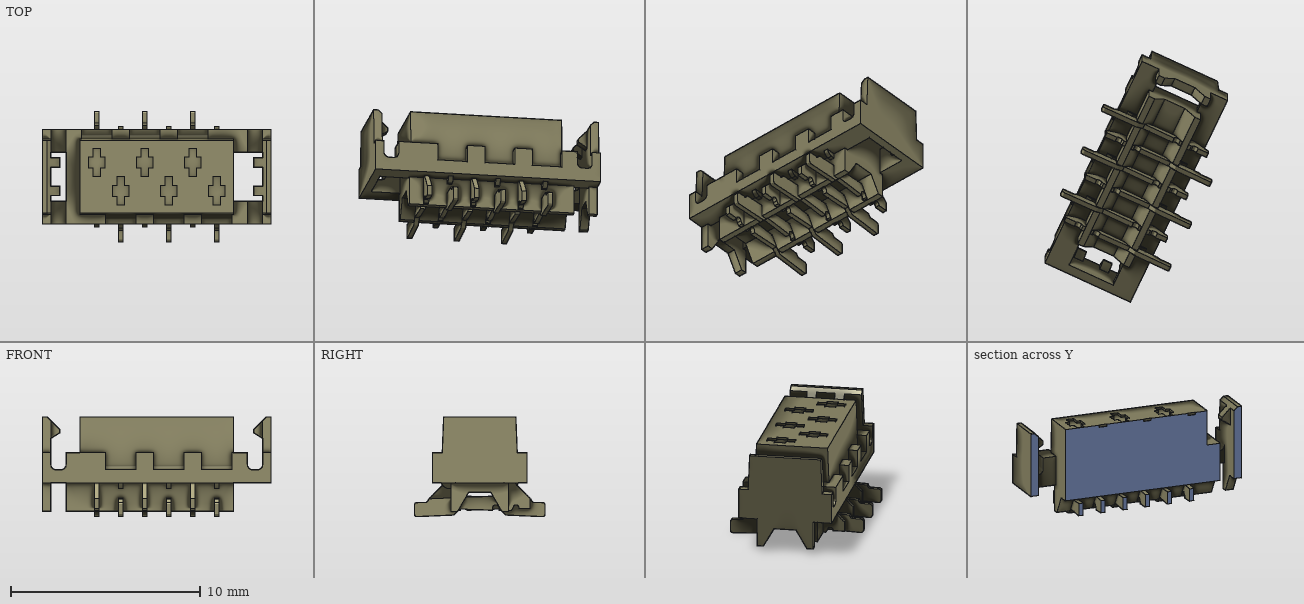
import cadquery as cq


length = 12.09
flange_width = 5.0
flange_height = 1.6
floor_height = 0.7

end_x = length / 2
latch_thickness = 0.45
latch_inner_x = end_x - latch_thickness
latch_chamfer = 0.2
barb_reach = 0.47
barb_tip_flat = 0.18
barb_underside_drop = 0.3
barb_width = 0.51

top_height = 3.5
core_half_length = 4.06
core_top_width = 3.83
core_base_width = 3.98
gap_inner_x = 4.8
gap_corner_radius = 0.28
window_width = 2.58

lower_depth = 1.5
lower_width = 3.02
tunnel_depth = 0.5
tunnel_top_width = 1.17
tunnel_bottom_width = 2.34

contact_pitch = 2.54
contacts_per_row = 3
row_shift = contact_pitch / 4
row_y = 0.75
contact_thickness = 0.25

relief_length = 1.6
relief_fillet = 0.25

socket_depth = 0.12
socket_long = 1.5
socket_narrow = 0.41
socket_wide = 0.86
socket_middle = 0.59

foot_end_y = 3.46
foot_bottom_z = -1.795
foot_top_z = -1.04
foot_radius = 0.14
foot_step_y = 2.845
foot_step_z = -1.025
step_middle = (2.755, -0.96)
blade_top_y = 2.715
blade_top_z = -0.845
blade_slope = 0.041
heel_y = 1.37
heel_z = -1.705
heel_radius = 0.15
arch_y = 1.05
arch_z = -1.38
blade_bottom_z = -1.455
shoulder_y = -1.86
tip_y = -2.67
tip_top_z = -0.82
tip_bottom_z = -1.343
hook_y = -1.92
hook_radius = 0.15
hook_center_z = -1.31
hook_lead_y = -1.67
slot_y = -0.85
slot_radius = 0.17
slot_top_z = -1.155
embed_z = 0.3
lump_y = 2.04
lump_depth = 0.29
lump_flat_y = 1.73
lump_middle = (1.92, -0.17)
lump_embed = 0.1


def box(x0, x1, y0, y1, z0, z1):
    """Axis-aligned block between two opposite corners."""
    block = cq.Workplane("XY").box(x1 - x0, y1 - y0, z1 - z0, centered=False)
    return block.translate((x0, y0, z0))


def row_positions(side):
    """X positions of the contacts in the row on the given Y side (+1 or -1)."""
    middle = -side * row_shift
    return [middle + contact_pitch * (i - (contacts_per_row - 1) / 2) for i in range(contacts_per_row)]


def core_half_width(z):
    """Half the core's width along Y at height z; its faces lean inwards going up."""
    lean = (core_base_width - core_top_width) / 2 / (top_height - flange_height)
    return core_top_width / 2 + lean * (top_height - z)


def extrude_along_x(outline, x0, x1):
    """Prism along X from a closed list of (Y, Z) points."""
    return cq.Workplane("YZ").polyline(outline).close().extrude(x1 - x0).translate((x0, 0, 0))


def tapered_block(x0, x1):
    """Block above the flange floor whose +Y and -Y faces lean inwards."""
    half_top = core_half_width(top_height)
    half_bottom = core_half_width(floor_height)
    outline = [
        (-half_bottom, floor_height),
        (half_bottom, floor_height),
        (half_top, top_height),
        (-half_top, top_height),
    ]
    return extrude_along_x(outline, x0, x1)


def flange():
    half_width = flange_width / 2
    body = box(-end_x, end_x, -half_width, half_width, 0, flange_height)
    for side in (1, -1):
        gap = box(gap_inner_x, latch_inner_x, -half_width, half_width, floor_height, top_height)
        gap = gap.edges("|Y and <Z").fillet(gap_corner_radius)
        window_x = core_half_length if side > 0 else gap_inner_x
        window = box(window_x, latch_inner_x, -window_width / 2, window_width / 2, 0, top_height)
        cutter = gap.union(window)
        if side < 0:
            cutter = cutter.mirror("YZ")
        body = body.cut(cutter)
    return body


def edge_relief(x, side):
    """Notch in a flange edge with a round inner bottom corner against the core."""
    outer_y = flange_width / 2
    outline = [
        (outer_y, floor_height),
        (outer_y, flange_height),
        (core_half_width(flange_height), flange_height),
        (core_half_width(floor_height), floor_height),
    ]
    notch = extrude_along_x(outline, x - relief_length / 2, x + relief_length / 2)
    inner_corner = cq.selectors.NearestToPointSelector((x, core_half_width(floor_height), floor_height))
    notch = notch.edges(inner_corner).fillet(relief_fillet)
    return notch if side > 0 else notch.mirror("XZ")


def lower_body():
    """Lower body and the two -X legs, with a tapered tunnel along X."""
    half = lower_width / 2
    body = box(-gap_inner_x, core_half_length, -half, half, -lower_depth, 0)
    legs = box(-end_x, -latch_inner_x, -half, half, -lower_depth, 0)
    tunnel_outline = [
        (-tunnel_bottom_width / 2, -lower_depth),
        (tunnel_bottom_width / 2, -lower_depth),
        (tunnel_top_width / 2, -tunnel_depth),
        (-tunnel_top_width / 2, -tunnel_depth),
    ]
    tunnel = extrude_along_x(tunnel_outline, -end_x, end_x)
    return body.union(legs).cut(tunnel)


def latch(side):
    """Upright end plate with a chamfered lip and two inward barbs."""
    plate = tapered_block(latch_inner_x, end_x)
    plate = plate.edges("|Y and <X and >Z").chamfer(latch_chamfer)
    root_top = top_height - latch_chamfer
    tip_x = latch_inner_x - barb_reach
    tip_top = root_top - barb_reach
    tip_bottom = tip_top - barb_tip_flat
    barb_outline = [
        (latch_inner_x, root_top),
        (tip_x, tip_top),
        (tip_x, tip_bottom),
        (latch_inner_x, tip_bottom - barb_underside_drop),
    ]
    for y in (row_y, -row_y):
        barb = cq.Workplane("XZ").polyline(barb_outline).close().extrude(barb_width / 2, both=True)
        plate = plate.union(barb.translate((0, y, 0)))
    return plate if side > 0 else plate.mirror("YZ")


def socket(x, side):
    """Cross-shaped recess in the top face."""
    upright = cq.Workplane("XY").rect(socket_narrow, socket_long).extrude(-socket_depth)
    arms = cq.Workplane("XY").rect(socket_wide, socket_middle).extrude(-socket_depth)
    return upright.union(arms).translate((x, side * row_y, top_height))


def contact(x, side):
    """Flat contact, its foot pointing to the given Y side."""
    top_end_z = blade_top_z + blade_slope * (blade_top_y - shoulder_y)
    blade = (
        cq.Workplane("YZ")
        .moveTo(foot_end_y, foot_bottom_z)
        .lineTo(foot_end_y, foot_top_z)
        .lineTo(foot_step_y, foot_step_z)
        .threePointArc(step_middle, (blade_top_y, blade_top_z))
        .lineTo(-lower_width / 2, top_end_z)
        .lineTo(-lower_width / 2, embed_z)
        .lineTo(shoulder_y, embed_z)
        .lineTo(shoulder_y, 0)
        .lineTo(tip_y, tip_top_z)
        .lineTo(tip_y, tip_bottom_z)
        .lineTo(hook_y - hook_radius, tip_bottom_z)
        .lineTo(hook_y - hook_radius, hook_center_z)
        .threePointArc((hook_y, hook_center_z + hook_radius), (hook_y + hook_radius, hook_center_z))
        .lineTo(hook_lead_y, blade_bottom_z)
        .lineTo(slot_y + slot_radius, blade_bottom_z)
        .lineTo(arch_y, arch_z)
        .lineTo(heel_y, heel_z)
        .close()
        .extrude(contact_thickness / 2, both=True)
    )
    blade = blade.edges("|X and >Y").fillet(foot_radius)
    heel = cq.selectors.NearestToPointSelector((0, heel_y, heel_z))
    blade = blade.edges(heel).fillet(heel_radius)
    slot_center_z = slot_top_z - slot_radius
    slot = cq.Workplane("YZ").center(slot_y, slot_center_z).circle(slot_radius)
    slot = slot.extrude(contact_thickness, both=True)
    slot_mouth = box(
        -contact_thickness, contact_thickness,
        slot_y - slot_radius, slot_y + slot_radius,
        foot_bottom_z, slot_center_z,
    )
    slot = slot.union(slot_mouth)
    blade = blade.cut(slot)
    lump_root_y = lower_width / 2 - lump_embed
    lump = (
        cq.Workplane("YZ")
        .moveTo(lump_root_y, embed_z)
        .lineTo(lump_root_y, -lump_depth)
        .lineTo(lump_flat_y, -lump_depth)
        .threePointArc(lump_middle, (lump_y, 0))
        .lineTo(lump_y, embed_z)
        .close()
        .extrude(contact_thickness / 2, both=True)
    )
    piece = blade.union(lump)
    if side < 0:
        piece = piece.mirror("XZ")
    return piece.translate((x, 0, 0))


def connector():
    placements = [(x, side) for side in (1, -1) for x in row_positions(side)]
    part = flange()
    for x, side in placements:
        part = part.cut(edge_relief(x, side))
    part = part.union(tapered_block(-core_half_length, core_half_length))
    part = part.union(lower_body())
    for side in (1, -1):
        part = part.union(latch(side))
    for x, side in placements:
        part = part.cut(socket(x, side))
        part = part.union(contact(x, side))
    return part


result = connector()